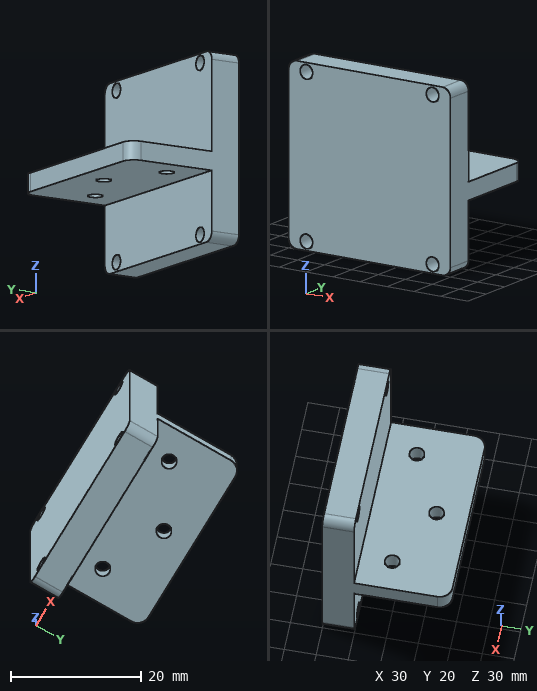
import cadquery as cq

plate_side = 30.0
plate_thickness = plate_side / 6
plate_corner_radius = 1.5

shelf_depth = plate_side / 2
shelf_thickness = 3.0
shelf_top_z = -plate_side / 30
shelf_corner_radius = plate_side / 15

hole_diameter = 2.3
plate_hole_spacing_x = 23.4
plate_hole_spacing_z = 27.0
shelf_hole_pitch = shelf_depth / 3
shelf_hole_offset_x = plate_side / 3

total_depth = plate_thickness + shelf_depth


def make_plate():
    """Square plate with rounded corners and four mounting holes along Y."""
    plate = (
        cq.Workplane("XY")
        .box(plate_side, plate_thickness, plate_side, centered=(True, False, True))
        .edges("|Y")
        .fillet(plate_corner_radius)
    )
    return (
        plate.faces("<Y")
        .workplane(centerOption="CenterOfBoundBox")
        .rect(plate_hole_spacing_x, plate_hole_spacing_z, forConstruction=True)
        .vertices()
        .hole(hole_diameter)
    )


def make_shelf():
    """Shelf with rounded rear corners and a triangle of vertical holes."""
    rear_hole_y = total_depth - shelf_hole_pitch
    front_hole_y = rear_hole_y - shelf_hole_pitch
    hole_centers = [
        (0, rear_hole_y),
        (-shelf_hole_offset_x, front_hole_y),
        (shelf_hole_offset_x, front_hole_y),
    ]
    shelf = (
        cq.Workplane("XY")
        .box(plate_side, shelf_depth, shelf_thickness, centered=(True, False, False))
        .translate((0, plate_thickness, shelf_top_z - shelf_thickness))
        .edges("|Z and >Y")
        .fillet(shelf_corner_radius)
    )
    holes = (
        cq.Workplane("XY", origin=(0, 0, shelf_top_z))
        .pushPoints(hole_centers)
        .circle(hole_diameter / 2)
        .extrude(-shelf_thickness)
    )
    return shelf.cut(holes)


result = make_plate().union(make_shelf())